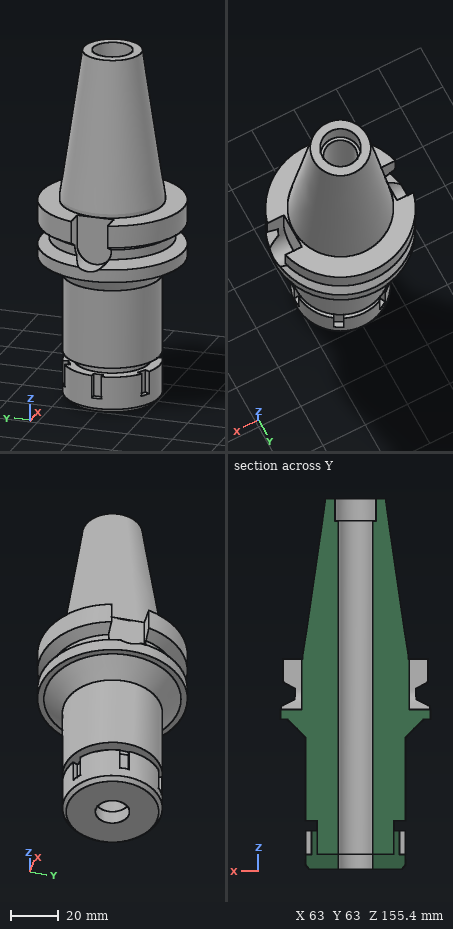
import cadquery as cq

TOTAL_HEIGHT = 155.4
NUT_HEIGHT = 16.3
SHANK_BOTTOM = 20.4
SHANK_TOP = 55.2
FLANGE_BOTTOM = 63.0
FLANGE_HEIGHT = 25.3
FLANGE_TOP = FLANGE_BOTTOM + FLANGE_HEIGHT
LAND_HEIGHT = 1.7
GAUGE_LINE = FLANGE_TOP + LAND_HEIGHT

SHANK_RADIUS = 21.0
SPIGOT_RADIUS = 16.2
FLANGE_DIAMETER = 63.0
FLANGE_RADIUS = FLANGE_DIAMETER / 2
GAUGE_RADIUS = 22.2
TAPER_RATIO = 7 / 24
TIP_RADIUS = GAUGE_RADIUS - (TOTAL_HEIGHT - GAUGE_LINE) * TAPER_RATIO / 2
SHOULDER_RADIUS = SHANK_RADIUS + FLANGE_BOTTOM - SHANK_TOP

GROOVE_RADIUS = 26.5
GROOVE_CENTRE = 73.5
GROOVE_FLOOR_WIDTH = 4.4
GROOVE_MOUTH_WIDTH = 10.0

KEYWAY_WIDTH = 16.2
KEYWAY_BOTTOM = 67.1
KEYWAY_FLOOR_X = 22.5

BORE_RADIUS = 7.1
COUNTERBORE_RADIUS = 8.5
COUNTERBORE_DEPTH = 9.3

NUT_RADIUS = SHANK_RADIUS
NUT_CHAMFER_HEIGHT = 1.9
NUT_CHAMFER_WIDTH = 1.5
WRENCH_SLOT_COUNT = 6
WRENCH_SLOT_WIDTH = 4.2
WRENCH_SLOT_DEPTH = 2.5
WRENCH_SLOT_BOTTOM = 6.4
SPIGOT_BOTTOM = WRENCH_SLOT_BOTTOM


def cylinder(radius, bottom, top):
    return cq.Workplane("XY").workplane(offset=bottom).circle(radius).extrude(top - bottom)


def holder_blank():
    """Spigot, shank, grooved flange and taper turned as one profile."""
    half_floor = GROOVE_FLOOR_WIDTH / 2
    half_mouth = GROOVE_MOUTH_WIDTH / 2
    profile = [
        (0, SPIGOT_BOTTOM),
        (SPIGOT_RADIUS, SPIGOT_BOTTOM),
        (SPIGOT_RADIUS, SHANK_BOTTOM),
        (SHANK_RADIUS, SHANK_BOTTOM),
        (SHANK_RADIUS, SHANK_TOP),
        (SHOULDER_RADIUS, FLANGE_BOTTOM),
        (FLANGE_RADIUS, FLANGE_BOTTOM),
        (FLANGE_RADIUS, GROOVE_CENTRE - half_mouth),
        (GROOVE_RADIUS, GROOVE_CENTRE - half_floor),
        (GROOVE_RADIUS, GROOVE_CENTRE + half_floor),
        (FLANGE_RADIUS, GROOVE_CENTRE + half_mouth),
        (FLANGE_RADIUS, FLANGE_TOP),
        (GAUGE_RADIUS, FLANGE_TOP),
        (GAUGE_RADIUS, GAUGE_LINE),
        (TIP_RADIUS, TOTAL_HEIGHT),
        (0, TOTAL_HEIGHT),
    ]
    return cq.Workplane("YZ").polyline(profile).close().revolve(360, (0, 0), (0, 1))


def keyway_cutter():
    """Round-bottomed, open-topped slot on the +X side of the flange."""
    radius = KEYWAY_WIDTH / 2
    arc_centre = KEYWAY_BOTTOM + radius
    return (
        cq.Workplane("YZ")
        .workplane(offset=KEYWAY_FLOOR_X)
        .moveTo(-radius, FLANGE_TOP)
        .lineTo(-radius, arc_centre)
        .threePointArc((0, KEYWAY_BOTTOM), (radius, arc_centre))
        .lineTo(radius, FLANGE_TOP)
        .close()
        .extrude(FLANGE_RADIUS - KEYWAY_FLOOR_X)
    )


def make_holder():
    holder = holder_blank()
    for angle in (0, 180):
        holder = holder.cut(keyway_cutter().rotate((0, 0, 0), (0, 0, 1), angle))
    holder = holder.cut(cylinder(BORE_RADIUS, SPIGOT_BOTTOM, TOTAL_HEIGHT))
    return holder.cut(cylinder(COUNTERBORE_RADIUS, TOTAL_HEIGHT - COUNTERBORE_DEPTH, TOTAL_HEIGHT))


def nut_blank():
    """Nut outside with its bottom chamfer."""
    profile = [
        (0, 0),
        (NUT_RADIUS - NUT_CHAMFER_WIDTH, 0),
        (NUT_RADIUS, NUT_CHAMFER_HEIGHT),
        (NUT_RADIUS, NUT_HEIGHT),
        (0, NUT_HEIGHT),
    ]
    return cq.Workplane("YZ").polyline(profile).close().revolve(360, (0, 0), (0, 1))


def wrench_slot_cutter():
    """Flat-floored slot in the nut's rim on the +X side, open at the top."""
    return cq.Workplane("XY").box(
        WRENCH_SLOT_DEPTH, WRENCH_SLOT_WIDTH, NUT_HEIGHT - WRENCH_SLOT_BOTTOM, centered=(False, True, False)
    ).translate((NUT_RADIUS - WRENCH_SLOT_DEPTH, 0, WRENCH_SLOT_BOTTOM))


def make_nut():
    nut = nut_blank()
    for index in range(WRENCH_SLOT_COUNT):
        angle = index * 360 / WRENCH_SLOT_COUNT
        nut = nut.cut(wrench_slot_cutter().rotate((0, 0, 0), (0, 0, 1), angle))
    nut = nut.cut(cylinder(SPIGOT_RADIUS, SPIGOT_BOTTOM, NUT_HEIGHT))
    return nut.cut(cylinder(BORE_RADIUS, 0, SPIGOT_BOTTOM))


holder = make_holder()
nut = make_nut()

result = cq.Compound.makeCompound([holder.val(), nut.val()])